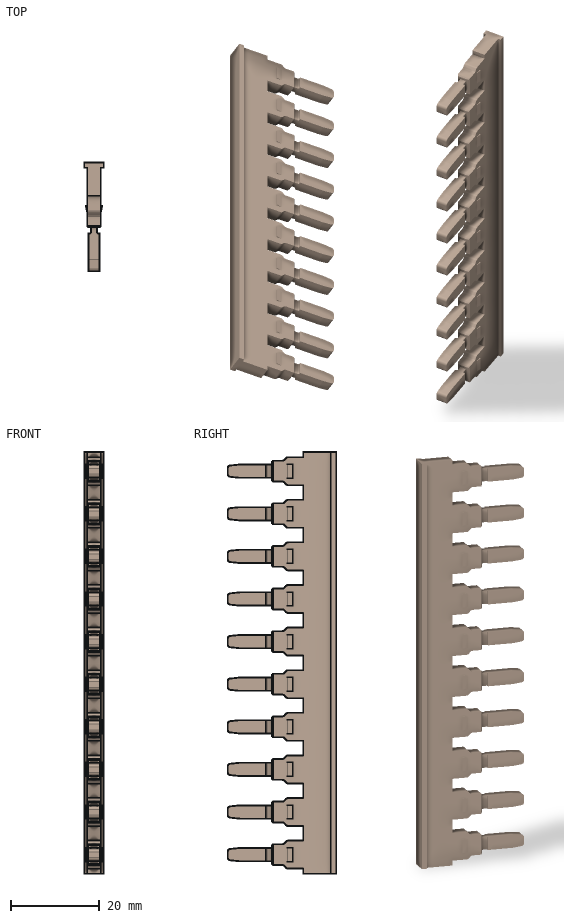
import cadquery as cq


length = 95.0
depth = 24.5
flange_width = 4.5

flange_depth = 1.2
body_width = 3.1
bar_depth = 7.5

tooth_count = 10
pitch = 9.6

root_height = 6.4
root_end = 11.1
collar_height = 4.75
collar_start = root_end + (root_height - collar_height) / 2
step_fillet = 0.6
collar_end = 14.5
collar_bevel = 0.3

neck_width = 1.4
neck_end = 16.0
neck_fillet = 0.3
blade_width = 2.6
blade_height = 3.0
tip_taper_start = 21.85
tip_end_height = 2.5
tip_fillet = 0.7

latch_height = 3.1
latch_start = 9.8
latch_end = 11.0
latch_rise = 0.3


def block(width, start, end, height):
    """Box centred on X and Z, between two distances from the back."""
    return cq.Workplane("XY").box(width, end - start, height).translate((0, -(start + end) / 2, 0))


def side_plate(width, half_outline):
    """Plate of the given X width; half_outline lists (distance from back, half height)."""
    upper = [(-distance, half) for distance, half in half_outline]
    lower = [(y, -z) for y, z in reversed(upper)]
    return cq.Workplane("YZ").polyline(upper + lower).close().extrude(width / 2, both=True)


def slab_selector(width, start, end):
    """Selector for edges centred within a width and between two distances from the back."""
    margin = 0.1
    half_x = width / 2 + margin
    return cq.selectors.BoxSelector(
        (-half_x, -end - margin, -root_height),
        (half_x, -start + margin, root_height),
    )


def root():
    """Root and collar, with a rounded step between them and a bevelled front end on the collar."""
    plate = side_plate(
        body_width,
        [
            (flange_depth, root_height / 2),
            (root_end, root_height / 2),
            (collar_start, collar_height / 2),
            (collar_end, collar_height / 2),
        ],
    )
    step_edges = slab_selector(body_width, root_end, collar_start)
    plate = plate.edges("|X").edges(step_edges).fillet(step_fillet)
    return plate.faces("<Y").chamfer(collar_bevel)


def blade():
    """Narrow neck followed by a wider blade with a tapered, rounded tip."""
    neck = block(neck_width, collar_end - collar_bevel, neck_end, blade_height)
    contact = side_plate(
        blade_width,
        [
            (neck_end, blade_height / 2),
            (tip_taper_start, blade_height / 2),
            (depth, tip_end_height / 2),
        ],
    )
    contact = contact.faces("<Y").edges("|X").fillet(tip_fillet)
    joined = neck.union(contact)
    neck_corners = slab_selector(neck_width, neck_end, neck_end)
    return joined.edges("|Z").edges(neck_corners).fillet(neck_fillet)


def latches():
    """Pair of wedges, highest at the back and fading out toward the blade."""
    side = body_width / 2
    outline = [
        (-side, -latch_end),
        (-side - latch_rise, -latch_start),
        (side + latch_rise, -latch_start),
        (side, -latch_end),
    ]
    return cq.Workplane("XY").polyline(outline).close().extrude(latch_height / 2, both=True)


flange = block(flange_width, 0, flange_depth, length)
bar = block(body_width, 0, bar_depth, length)
tooth = root().union(blade()).union(latches())

result = flange.union(bar)
for index in range(tooth_count):
    height = (index - (tooth_count - 1) / 2) * pitch
    result = result.union(tooth.translate((0, 0, height)))